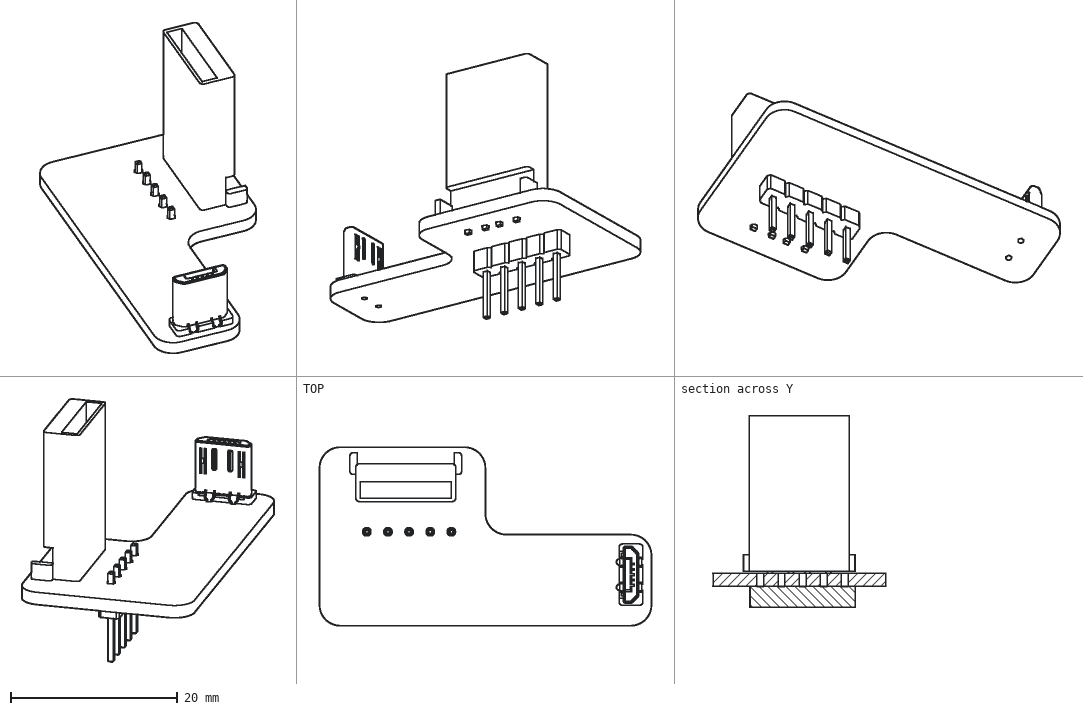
import cadquery as cq
import math

BOARD_LENGTH = 40.0
BOARD_DEPTH = 21.5
BOARD_THICKNESS = 1.6
WIDE_PART_LENGTH = 20.0
NARROW_PART_DEPTH = 11.0
BOARD_CORNER_RADIUS = 2.5

PIN_COUNT = 5
HEADER_LENGTH = 12.7
PIN_PITCH = HEADER_LENGTH / PIN_COUNT
HEADER_CENTER_X = 10.8
HEADER_CENTER_Y = 11.3
HEADER_CHAMFER = 0.3
PIN_WIDTH = 0.65
PIN_BOTTOM = -8.55
PIN_TOP = 2.95
PIN_TIP_CHAMFER = 0.15
PIN_HOLE_DIAMETER = 1.0
PIN_XS = [HEADER_CENTER_X + (i - (PIN_COUNT - 1) / 2) * PIN_PITCH for i in range(PIN_COUNT)]

SOCKET_CENTER_X = 10.4
SOCKET_WIDTH = 12.1
SOCKET_FRONT = 14.95
SOCKET_BACK = 19.5
SOCKET_BOTTOM = BOARD_THICKNESS + 0.2
SOCKET_TOP = 20.55
SOCKET_CORNER_RADIUS = 0.5
UNDERCUT_FRONT = 18.25
UNDERCUT_TOP = 5.8
OPENING_WIDTH = 10.95
OPENING_FRONT = 15.35
OPENING_BACK = 17.3
OPENING_DEPTH = 12.0
EAR_SPAN = 13.45
EAR_THICKNESS = 0.9
EAR_BACK = 20.85
EAR_TOP = 3.8
EAR_CORNER_RADIUS = 0.35
LEAD_OFFSETS = (-3.5, -1.0, 1.0, 3.5)
LEAD_WIDTH = 0.65
LEAD_DEPTH = 0.5
LEAD_BOTTOM = -0.35
LEAD_CENTER_Y = 18.2
LEAD_HOLE_DIAMETER = 0.9

PLUG_CENTER_Y = 6.15
BASE_LEFT = 36.1
BASE_RIGHT = 38.95
BASE_WIDTH = 7.4
BASE_TOP = BOARD_THICKNESS + 0.85
BASE_CORNER_RADIUS = 0.45
SHELL_LEFT = 36.55
SHELL_RIGHT = 38.45
SHELL_WIDTH = 6.9
SHELL_TOP = 8.9
SHELL_WALL = 0.25
SHELL_BEVEL = 0.85
SHELL_CORNER_RADIUS = 0.4
SHELL_BEVEL_RADIUS = 0.4
SHELL_RIM_CHAMFER = 0.1
RECESS_WIDTH = 5.7
RECESS_FLOOR = 2.15
LATCH_OFFSET = 2.4
LATCH_SLIT_SPACING = 0.55
LATCH_SLIT_WIDTH = 0.25
LATCH_SLIT_BOTTOM = 4.85
LATCH_SLIT_TOP = 8.05
BUMP_DIAMETER = 0.7
BUMP_HEIGHT = 0.25
BUMP_CENTER_Z = 6.5
WINDOW_OFFSET = 1.0
WINDOW_WIDTH = 0.55
WINDOW_BOTTOM = 5.4
WINDOW_TOP = 8.15
TAB_OFFSET = 1.5
TAB_WIDTH = 0.9
TAB_REACH = 0.4
TAB_BEND_RADIUS = 0.45
TAB_TAPER_TOP = 1.95
NOTCH_CLEARANCE = 0.15
FOOT_WIDTH = 0.35
FOOT_BOTTOM = 0.8
FOOT_HOLE_DIAMETER = 0.7
FOOT_HOLE_X = 36.1
RELIEF_WIDTH = 0.2
RELIEF_TOP = 2.7
SLOT_RIGHT = 37.45
SLOT_WIDTH = 3.7
SLOT_DEPTH = 4.8
SLOT_CHAMFER = 0.2
CONTACT_COUNT = 5
CONTACT_PITCH = 0.65
GROOVE_WIDTH = 0.2
GROOVE_DEPTH = 0.5


def box(x0, x1, y0, y1, z0, z1):
    """Box between two opposite corners."""
    return cq.Workplane("XY").box(x1 - x0, y1 - y0, z1 - z0, centered=False).translate((x0, y0, z0))


def centered_box(x0, x1, center_y, width, z0, z1):
    """Box of a given Y width about center_y."""
    return box(x0, x1, center_y - width / 2, center_y + width / 2, z0, z1)


def mirrored_ys(offset):
    """The two Y places at an offset either side of the plug's middle."""
    return (PLUG_CENTER_Y - offset, PLUG_CENTER_Y + offset)


def make_board():
    outline = [
        (0, 0),
        (BOARD_LENGTH, 0),
        (BOARD_LENGTH, NARROW_PART_DEPTH),
        (WIDE_PART_LENGTH, NARROW_PART_DEPTH),
        (WIDE_PART_LENGTH, BOARD_DEPTH),
        (0, BOARD_DEPTH),
    ]
    board = cq.Workplane("XY").polyline(outline).close().extrude(BOARD_THICKNESS)
    board = board.edges("|Z").fillet(BOARD_CORNER_RADIUS)
    hole_groups = [
        (PIN_HOLE_DIAMETER, [(x, HEADER_CENTER_Y) for x in PIN_XS]),
        (LEAD_HOLE_DIAMETER, [(SOCKET_CENTER_X + dx, LEAD_CENTER_Y) for dx in LEAD_OFFSETS]),
        (FOOT_HOLE_DIAMETER, [(FOOT_HOLE_X, y) for y in mirrored_ys(TAB_OFFSET)]),
    ]
    for diameter, centers in hole_groups:
        holes = cq.Workplane("XY").pushPoints(centers).circle(diameter / 2).extrude(BOARD_THICKNESS)
        board = board.cut(holes)
    return board


def make_header_housing():
    """Row of joined square cells with chamfered corners, each with a square pin hole."""
    housing = cq.Workplane("XY")
    for x in PIN_XS:
        cell = cq.Workplane("XY").box(PIN_PITCH, PIN_PITCH, PIN_PITCH).edges("|Z").chamfer(HEADER_CHAMFER)
        cell = cell.cut(cq.Workplane("XY").box(PIN_WIDTH, PIN_WIDTH, PIN_PITCH))
        housing = housing.union(cell.translate((x, HEADER_CENTER_Y, -PIN_PITCH / 2)))
    return housing


def make_header_pin(x):
    pin = cq.Workplane("XY").rect(PIN_WIDTH, PIN_WIDTH).extrude(PIN_TOP - PIN_BOTTOM)
    pin = pin.faces("<Z or >Z").chamfer(PIN_TIP_CHAMFER)
    return pin.translate((x, HEADER_CENTER_Y, PIN_BOTTOM))


def make_usb_socket():
    left = SOCKET_CENTER_X - SOCKET_WIDTH / 2
    right = SOCKET_CENTER_X + SOCKET_WIDTH / 2
    socket = box(left, right, SOCKET_FRONT, SOCKET_BACK, SOCKET_BOTTOM, SOCKET_TOP)
    socket = socket.edges("|Z").fillet(SOCKET_CORNER_RADIUS)
    socket = socket.cut(box(left, right, UNDERCUT_FRONT, SOCKET_BACK, SOCKET_BOTTOM, UNDERCUT_TOP))
    socket = socket.cut(
        box(
            SOCKET_CENTER_X - OPENING_WIDTH / 2,
            SOCKET_CENTER_X + OPENING_WIDTH / 2,
            OPENING_FRONT,
            OPENING_BACK,
            SOCKET_TOP - OPENING_DEPTH,
            SOCKET_TOP,
        )
    )

    ear_left = SOCKET_CENTER_X - EAR_SPAN / 2
    ear = box(ear_left, ear_left + EAR_THICKNESS, UNDERCUT_FRONT, EAR_BACK, SOCKET_BOTTOM, EAR_TOP)
    ear = ear.edges("|Z and <X").fillet(EAR_CORNER_RADIUS)
    socket = socket.union(ear)
    socket = socket.union(ear.mirror("YZ", (SOCKET_CENTER_X, 0, 0)))

    for offset in LEAD_OFFSETS:
        lead = cq.Workplane("XY").rect(LEAD_WIDTH, LEAD_DEPTH).extrude(SOCKET_BOTTOM - LEAD_BOTTOM)
        socket = socket.union(lead.translate((SOCKET_CENTER_X + offset, LEAD_CENTER_Y, LEAD_BOTTOM)))
    return socket


def make_plug_section(inset):
    """D-shaped plug body with rounded left and bevelled right corners, above the base.

    inset moves the whole outline inward from the outside of the shell.
    """
    half = SHELL_WIDTH / 2 - inset
    left = SHELL_LEFT + inset
    right = SHELL_RIGHT - inset
    bevel = SHELL_BEVEL - inset * (2 - math.sqrt(2))
    outline = [
        (left, -half),
        (right - bevel, -half),
        (right, bevel - half),
        (right, half - bevel),
        (right - bevel, half),
        (left, half),
    ]
    section = cq.Workplane("XY").polyline(outline).close().extrude(SHELL_TOP - BASE_TOP)
    section = section.edges("|Z and (not <X)").fillet(SHELL_BEVEL_RADIUS - inset)
    section = section.edges("|Z and <X").fillet(SHELL_CORNER_RADIUS - inset)
    return section.translate((0, PLUG_CENTER_Y, BASE_TOP))


def make_taper(length, clearance):
    """Bar along X with the face outline of a tab: full width at the top, narrowing to the foot.

    clearance widens the outline on each side.
    """
    half_tab = TAB_WIDTH / 2 + clearance
    half_foot = FOOT_WIDTH / 2 + clearance
    taper = [
        (-half_tab, BASE_TOP),
        (-half_tab, TAB_TAPER_TOP),
        (-half_foot, BOARD_THICKNESS),
        (-half_foot, FOOT_BOTTOM),
        (half_foot, FOOT_BOTTOM),
        (half_foot, BOARD_THICKNESS),
        (half_tab, TAB_TAPER_TOP),
        (half_tab, BASE_TOP),
    ]
    return cq.Workplane("YZ").polyline(taper).close().extrude(length)


def make_tab(wall_x, direction, center_y, bottom):
    """Tab that leaves the shell wall, bends down and narrows to a foot.

    wall_x is the inner face of the wall and direction is the X sense pointing out of the shell.
    """
    reach = SHELL_WALL + TAB_REACH
    bend_shift = TAB_BEND_RADIUS * (1 - math.sqrt(0.5))
    side = (
        cq.Workplane("XZ")
        .moveTo(0, RECESS_FLOOR)
        .lineTo(0, BASE_TOP)
        .lineTo(reach - TAB_BEND_RADIUS, BASE_TOP)
        .threePointArc((reach - bend_shift, BASE_TOP - bend_shift), (reach, BASE_TOP - TAB_BEND_RADIUS))
        .lineTo(reach, bottom)
        .lineTo(reach - SHELL_WALL, bottom)
        .lineTo(reach - SHELL_WALL, RECESS_FLOOR)
        .close()
        .extrude(TAB_WIDTH / 2, both=True)
    )
    tab = side.intersect(make_taper(reach, 0))
    if direction < 0:
        tab = tab.mirror("YZ")
    return tab.translate((wall_x, center_y, 0))


def make_plug_shell():
    inner_left = SHELL_LEFT + SHELL_WALL
    inner_right = SHELL_RIGHT - SHELL_WALL
    shell = make_plug_section(0)
    shell = shell.faces(">Z").chamfer(SHELL_RIM_CHAMFER)
    shell = shell.cut(make_plug_section(SHELL_WALL))

    for y in mirrored_ys(LATCH_OFFSET):
        for slit_y in (y - LATCH_SLIT_SPACING / 2, y + LATCH_SLIT_SPACING / 2):
            slit = centered_box(
                SHELL_LEFT, inner_left, slit_y, LATCH_SLIT_WIDTH, LATCH_SLIT_BOTTOM, LATCH_SLIT_TOP
            )
            shell = shell.cut(slit)
        bump_width = LATCH_SLIT_SPACING - LATCH_SLIT_WIDTH
        bump_x = SHELL_LEFT - BUMP_HEIGHT + BUMP_DIAMETER / 2
        bump = (
            cq.Workplane("XZ", origin=(bump_x, y, BUMP_CENTER_Z))
            .circle(BUMP_DIAMETER / 2)
            .extrude(bump_width / 2, both=True)
        )
        outside = box(BASE_LEFT, inner_left, 0, BOARD_DEPTH, 0, SHELL_TOP)
        shell = shell.union(bump.intersect(outside))

    window_height = WINDOW_TOP - WINDOW_BOTTOM
    window_z = (WINDOW_TOP + WINDOW_BOTTOM) / 2
    for y in mirrored_ys(WINDOW_OFFSET):
        window = (
            cq.Workplane("YZ", origin=(SHELL_LEFT, y, window_z))
            .slot2D(window_height, WINDOW_WIDTH, 90)
            .extrude(SHELL_WALL)
        )
        shell = shell.cut(window)

    relief_offset = (TAB_WIDTH + RELIEF_WIDTH) / 2
    for y in mirrored_ys(TAB_OFFSET):
        for relief_y in (y - relief_offset, y + relief_offset):
            for wall_left in (SHELL_LEFT, inner_right):
                wall_right = wall_left + SHELL_WALL
                relief = centered_box(wall_left, wall_right, relief_y, RELIEF_WIDTH, BASE_TOP, RELIEF_TOP)
                shell = shell.cut(relief)
        shell = shell.union(make_tab(inner_left, -1, y, FOOT_BOTTOM))
        shell = shell.union(make_tab(inner_right, 1, y, BOARD_THICKNESS))
    return shell


def make_plug_core():
    """Base on the board and the insulator that fills the shell."""
    inner_left = SHELL_LEFT + SHELL_WALL
    inner_right = SHELL_RIGHT - SHELL_WALL
    core = centered_box(BASE_LEFT, BASE_RIGHT, PLUG_CENTER_Y, BASE_WIDTH, BOARD_THICKNESS, BASE_TOP)
    core = core.edges("|Z").fillet(BASE_CORNER_RADIUS)
    core = core.cut(
        centered_box(BASE_LEFT, inner_left, PLUG_CENTER_Y, RECESS_WIDTH, RECESS_FLOOR, BASE_TOP)
    )

    for y in mirrored_ys(TAB_OFFSET):
        for left, right in ((BASE_LEFT, inner_left), (inner_right, BASE_RIGHT)):
            notch = make_taper(right - left, NOTCH_CLEARANCE)
            core = core.cut(notch.translate((left, y, 0)))

    core = core.union(make_plug_section(SHELL_WALL))

    slot_bottom = SHELL_TOP - SLOT_DEPTH
    core = core.cut(
        centered_box(inner_left, SLOT_RIGHT, PLUG_CENTER_Y, SLOT_WIDTH, slot_bottom, SHELL_TOP)
    )
    mouth = (
        cq.Workplane("XY", origin=(inner_left, PLUG_CENTER_Y, SHELL_TOP))
        .rect(2 * (SLOT_RIGHT - inner_left + SLOT_CHAMFER), SLOT_WIDTH + 2 * SLOT_CHAMFER)
        .extrude(-SLOT_CHAMFER, taper=45)
    )
    core = core.cut(mouth)

    for i in range(CONTACT_COUNT):
        y = PLUG_CENTER_Y + (i - (CONTACT_COUNT - 1) / 2) * CONTACT_PITCH
        groove = centered_box(SLOT_RIGHT, SLOT_RIGHT + GROOVE_DEPTH, y, GROOVE_WIDTH, slot_bottom, SHELL_TOP)
        core = core.cut(groove)
    return core


board = make_board()
header_housing = make_header_housing()
header_pins = [make_header_pin(x) for x in PIN_XS]
usb_socket = make_usb_socket()
plug_shell = make_plug_shell()
plug_core = make_plug_core()

result = cq.Compound.makeCompound(
    [
        board.val(),
        header_housing.val(),
        *[pin.val() for pin in header_pins],
        usb_socket.val(),
        plug_shell.val(),
        plug_core.val(),
    ]
)